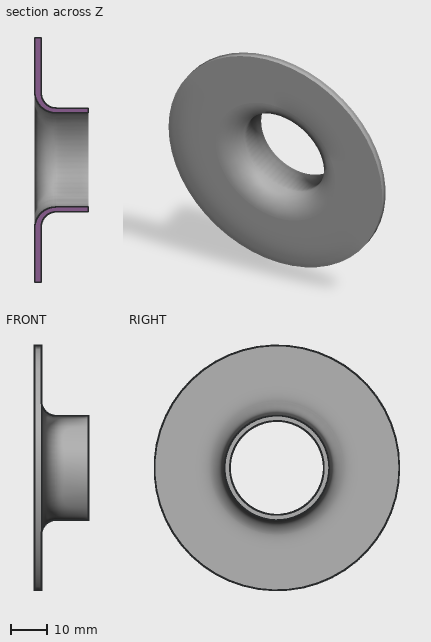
import cadquery as cq
import math

flange_diameter = 68.0
flange_thickness = 2.0
tube_outer_diameter = 29.0
bore_diameter = 26.0
total_length = 15.0
mouth_radius = 6.0

flange_radius = flange_diameter / 2
tube_radius = tube_outer_diameter / 2
bore_radius = bore_diameter / 2

neck_end_x = mouth_radius
neck_radius = neck_end_x - flange_thickness


def quarter_arc_middle(radius, wall_radius):
    """Middle of a quarter arc that leaves a wall of the tube at neck_end_x and flares outward."""
    offset = radius * math.sqrt(0.5)
    return (neck_end_x - offset, wall_radius + radius - offset)


half_section = (
    cq.Workplane("XY")
    .moveTo(0, flange_radius)
    .lineTo(0, bore_radius + mouth_radius)
    .threePointArc(quarter_arc_middle(mouth_radius, bore_radius), (neck_end_x, bore_radius))
    .lineTo(total_length, bore_radius)
    .lineTo(total_length, tube_radius)
    .lineTo(neck_end_x, tube_radius)
    .threePointArc(
        quarter_arc_middle(neck_radius, tube_radius),
        (flange_thickness, tube_radius + neck_radius),
    )
    .lineTo(flange_thickness, flange_radius)
    .close()
)

result = half_section.revolve(360, (0, 0, 0), (1, 0, 0))